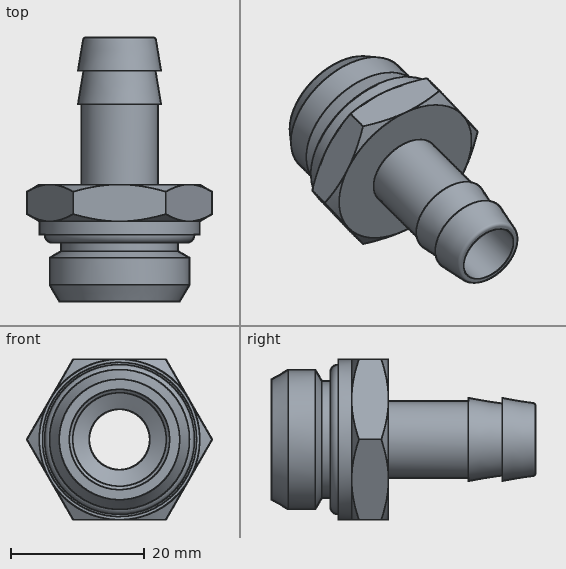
import cadquery as cq
import math

LENGTH = 39.5

NOSE_RADIUS = 9.0
THREAD_RADIUS = 10.45
NECK_RADIUS = 8.75
NOSE_CHAMFER_LENGTH = 2.5
THREAD_END = 6.55
NECK_START = 7.55

FLANGE_FACE = 10.0
HEX_START = 12.0
HEX_END = 17.5
HEX_FLATS = 24.0
FLANGE_RADIUS = HEX_FLATS / 2
HEX_CORNER_RADIUS = FLANGE_RADIUS / math.cos(math.radians(30))
HEX_CHAMFER_ANGLE = 30.0

RING_OUTER_RADIUS = 11.2
RING_SECTION_RADIUS = (RING_OUTER_RADIUS - NECK_RADIUS) / 2
RING_CENTER_RADIUS = NECK_RADIUS + RING_SECTION_RADIUS
RECESS_RADIUS = 11.55
RECESS_FLOOR = FLANGE_FACE + RING_SECTION_RADIUS

STEM_RADIUS = 5.75
BARB_RADIUS = 6.25
BARB_TIP_RADIUS = 5.4
BARB_LENGTH = 5.0
TIP_FILLET = 0.47

BORE_RADIUS = 4.5
ENTRY_RADIUS = 7.0
ENTRY_DEPTH = HEX_START
ENTRY_CONE_HALF_ANGLE = 60.0
ENTRY_CONE_LENGTH = (ENTRY_RADIUS - BORE_RADIUS) / math.tan(math.radians(ENTRY_CONE_HALF_ANGLE))
MOUTH_CHAMFER = 0.5


def turned(points):
    """Revolve a closed (radius, y) outline about the Y axis."""
    return cq.Workplane("XY").polyline(points).close().revolve(360, (0, 0, 0), (0, 1, 0))


def make_nose_and_flange():
    return turned([
        (0, 0),
        (NOSE_RADIUS, 0),
        (THREAD_RADIUS, NOSE_CHAMFER_LENGTH),
        (THREAD_RADIUS, THREAD_END),
        (NECK_RADIUS, NECK_START),
        (NECK_RADIUS, RECESS_FLOOR),
        (RECESS_RADIUS, RECESS_FLOOR),
        (RECESS_RADIUS, FLANGE_FACE),
        (FLANGE_RADIUS, FLANGE_FACE),
        (FLANGE_RADIUS, HEX_START),
        (0, HEX_START),
    ])


def make_hexagon():
    """Hexagon with flats facing +Z and -Z and its corners chamfered at both ends."""
    prism = (
        cq.Workplane("XZ", origin=(0, HEX_START, 0))
        .polygon(6, 2 * HEX_CORNER_RADIUS)
        .extrude(HEX_START - HEX_END)
    )
    drop = (HEX_CORNER_RADIUS - FLANGE_RADIUS) * math.tan(math.radians(HEX_CHAMFER_ANGLE))
    chamfer_envelope = turned([
        (0, HEX_START),
        (FLANGE_RADIUS, HEX_START),
        (HEX_CORNER_RADIUS, HEX_START + drop),
        (HEX_CORNER_RADIUS, HEX_END - drop),
        (FLANGE_RADIUS, HEX_END),
        (0, HEX_END),
    ])
    return prism.intersect(chamfer_envelope)


def make_hose_tail():
    tip_barb_start = LENGTH - BARB_LENGTH
    rear_barb_start = tip_barb_start - BARB_LENGTH
    tail = turned([
        (0, HEX_END),
        (STEM_RADIUS, HEX_END),
        (STEM_RADIUS, rear_barb_start),
        (BARB_RADIUS, rear_barb_start),
        (BARB_TIP_RADIUS, tip_barb_start),
        (BARB_RADIUS, tip_barb_start),
        (BARB_TIP_RADIUS, LENGTH),
        (0, LENGTH),
    ])
    return tail.faces(">Y").edges().fillet(TIP_FILLET)


def make_bore():
    return turned([
        (0, 0),
        (ENTRY_RADIUS + MOUTH_CHAMFER, 0),
        (ENTRY_RADIUS, MOUTH_CHAMFER),
        (ENTRY_RADIUS, ENTRY_DEPTH),
        (BORE_RADIUS, ENTRY_DEPTH + ENTRY_CONE_LENGTH),
        (BORE_RADIUS, LENGTH),
        (0, LENGTH),
    ])


def make_fitting():
    outside = make_nose_and_flange().union(make_hexagon()).union(make_hose_tail())
    return outside.cut(make_bore())


def make_sealing_ring():
    """Round-section ring resting on the neck and on the recess floor."""
    return (
        cq.Workplane("XY")
        .center(RING_CENTER_RADIUS, FLANGE_FACE)
        .circle(RING_SECTION_RADIUS)
        .revolve(360, (-RING_CENTER_RADIUS, 0, 0), (-RING_CENTER_RADIUS, 1, 0))
    )


fitting = make_fitting()
sealing_ring = make_sealing_ring()

result = cq.Compound.makeCompound([fitting.val(), sealing_ring.val()])